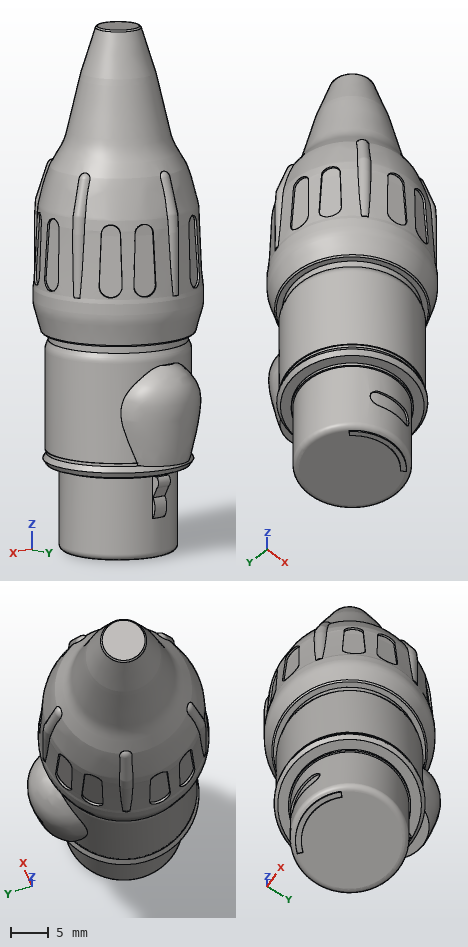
import cadquery as cq
import math

pad_height = 0.2
total_height = 70.75
plug_edge_radius = 0.85
plug_top = 11.4
flange_bottom = 11.8
flange_crest = 12.5
flange_top = 13.3
body_bottom = 13.7
body_top = 27.2
body_round_top = 27.9
neck_start = 28.5
cap_bottom = 29.6
cap_lip = 0.2
ring_low = 32.55
ring_mid = 34.0
ring_top = 35.5
grip_bottom = 36.1
grip_top = 45.2
dome_bottom = 46.6
dome_top = 52.0
shoulder = 53.85
cone_bottom = 56.8
cone_top = 63.7
tip_bottom = 64.5
tip_chamfer = 0.2

plug_radius = 7.85
plug_collar_radius = 8.1
flange_bottom_radius = 9.5
flange_radius = 10.0
body_radius = 9.7
body_round_radius = 9.55
body_round = 1.8
body_groove_depth = 0.15
neck_radius = 9.3
cap_bottom_radius = 10.25
ring_low_radius = 11.05
ring_diameter = 22.6
ring_radius = ring_diameter / 2
ring_round = 4.6
grip_bottom_radius = 11.2
grip_top_radius = 10.75
dome_bottom_radius = 10.6
dome_mid_radius = 10.0
dome_top_radius = 9.05
shoulder_radius = 8.0
waist_radius = 7.2
cone_bottom_radius = 6.8
cone_top_radius = 5.2
tip_bottom_radius = 4.95
tip_radius = 3.05

rib_count = 5
rib_pitch = 360 / rib_count
first_rib_angle = 90.0
rib_radius = 1.0
rib_top = 51.5
rib_top_radius = 8.6
rib_bend = 46.85
rib_bend_inset = 0.15
rib_knee = 44.6
flute_spread = 12.0
flute_bottom = 36.4
flute_top = 46.05
flute_bottom_width = 3.05
flute_top_width = 2.55
flute_depth = 0.35
flute_ramp_height = 1.55
flute_ramp_rise = 0.15

latch_sections = [
    (13.4, 4.4, 11.6),
    (16.3, 5.45, 12.3),
    (19.95, 6.3, 12.95),
    (22.65, 5.95, 13.1),
    (24.55, 4.7, 12.4),
    (25.9, 3.1, 11.3),
    (26.6, 1.4, 10.05),
]
latch_sink = 0.1

window_length = 7.15
window_height = 2.7
window_center = 6.2
window_depth = 0.3
key_width = 2.1
key_root = plug_radius - 0.7
key_waist = plug_radius + 0.1
upper_bump_root = plug_radius + 0.8
upper_bump_crest = plug_radius + 1.1
upper_bump_bottom = 9.8
upper_bump_middle = (plug_top + upper_bump_bottom) / 2
lower_bump_crest = plug_radius + 0.4
lower_bump_top = 8.5
lower_bump_bottom = 5.65
lower_bump_middle = (lower_bump_top + lower_bump_bottom) / 2
pad_inner_radius = 6.4
pad_outer_radius = 7.15
pad_half_angle = 48.0


def revolved_shell():
    """Solid of revolution holding the plug, body, neck and cap."""
    middle_dome = (dome_bottom + dome_top) / 2
    middle_waist = (shoulder + cone_bottom) / 2
    groove_radius = body_radius - body_groove_depth
    profile = (
        cq.Workplane("XZ")
        .moveTo(0, pad_height)
        .lineTo(plug_radius - plug_edge_radius, pad_height)
        .radiusArc((plug_radius, pad_height + plug_edge_radius), -plug_edge_radius)
        .lineTo(plug_radius, plug_top)
        .lineTo(plug_collar_radius, plug_top)
        .lineTo(plug_collar_radius, flange_bottom)
        .lineTo(flange_bottom_radius, flange_bottom)
        .lineTo(flange_radius, flange_crest)
        .lineTo(groove_radius, flange_top)
        .lineTo(groove_radius, body_bottom)
        .lineTo(body_radius, body_bottom)
        .lineTo(body_radius, body_top)
        .radiusArc((body_round_radius, body_round_top), -body_round)
        .lineTo(neck_radius, neck_start)
        .lineTo(neck_radius, cap_bottom)
        .lineTo(cap_bottom_radius - cap_lip, cap_bottom)
        .lineTo(cap_bottom_radius, cap_bottom + cap_lip)
        .lineTo(ring_low_radius, ring_low)
        .radiusArc((ring_radius, ring_mid), -ring_round)
        .lineTo(ring_radius, ring_top)
        .lineTo(grip_bottom_radius, grip_bottom)
        .lineTo(grip_top_radius, grip_top)
        .lineTo(dome_bottom_radius, dome_bottom)
        .threePointArc((dome_mid_radius, middle_dome), (dome_top_radius, dome_top))
        .lineTo(shoulder_radius, shoulder)
        .threePointArc((waist_radius, middle_waist), (cone_bottom_radius, cone_bottom))
        .lineTo(cone_top_radius, cone_top)
        .lineTo(tip_bottom_radius, tip_bottom)
        .lineTo(tip_radius, total_height - tip_chamfer)
        .lineTo(tip_radius - tip_chamfer, total_height)
        .lineTo(0, total_height)
        .close()
    )
    return profile.revolve(360, (0, 0, 0), (0, 1, 0))


def grip_rib():
    """Round bar bent along the cap, sinking into it at the lower end; lies on +X."""
    axis_radius = ring_radius - rib_radius
    top = cq.Vector(rib_top_radius, 0, rib_top)
    bend = cq.Vector(axis_radius - rib_bend_inset, 0, rib_bend)
    knee = cq.Vector(axis_radius, 0, rib_knee)
    foot = cq.Vector(axis_radius, 0, grip_bottom)
    rib = None
    for start, end in [(top, bend), (bend, knee), (knee, foot)]:
        along = end - start
        bar = cq.Workplane(cq.Solid.makeCylinder(rib_radius, along.Length, start, along))
        ball = cq.Workplane("XY").sphere(rib_radius).translate(start.toTuple())
        piece = bar.union(ball)
        rib = piece if rib is None else rib.union(piece)
    return rib


def flute_cutter():
    """Tapered round-ended slot with a ramped upper end; lies on +X."""
    low_radius = flute_bottom_width / 2
    high_radius = flute_top_width / 2
    low = flute_bottom + low_radius
    high = flute_top - high_radius
    outside = 2 * ring_radius
    outline = (
        cq.Workplane("YZ")
        .moveTo(-low_radius, low)
        .threePointArc((0, flute_bottom), (low_radius, low))
        .lineTo(high_radius, high)
        .threePointArc((0, flute_top), (-high_radius, high))
        .close()
        .extrude(outside)
    )
    floor = (
        cq.Workplane("XZ")
        .moveTo(outside, flute_top)
        .lineTo(dome_bottom_radius - flute_depth + flute_ramp_rise, flute_top)
        .lineTo(grip_top_radius - flute_depth, flute_top - flute_ramp_height)
        .lineTo(grip_bottom_radius - flute_depth, flute_bottom)
        .lineTo(outside, flute_bottom)
        .close()
        .extrude(flute_bottom_width, both=True)
    )
    return outline.intersect(floor)


def latch():
    """Domed release button blended through arc sections that end on the body."""
    loft = cq.Workplane("XY")
    height = 0
    for z, half_width, crest in latch_sections:
        root = math.sqrt(body_radius**2 - half_width**2) - latch_sink
        loft = (
            loft.workplane(offset=z - height)
            .moveTo(-half_width, root)
            .threePointArc((0, crest), (half_width, root))
            .close()
        )
        height = z
    return loft.loft()


def plug_key():
    """Narrow key on the +Y side of the plug with a tall upper bump and a low lower one."""
    return (
        cq.Workplane("YZ")
        .moveTo(key_root, plug_top)
        .lineTo(upper_bump_root, plug_top)
        .threePointArc((upper_bump_crest, upper_bump_middle), (upper_bump_root, upper_bump_bottom))
        .lineTo(key_waist, lower_bump_top)
        .threePointArc((lower_bump_crest, lower_bump_middle), (plug_radius, lower_bump_bottom))
        .lineTo(key_root, lower_bump_bottom)
        .close()
        .extrude(key_width / 2, both=True)
    )


def name_window():
    """Round-ended recess wrapped around the -Y side of the plug."""
    slot = (
        cq.Workplane("XZ")
        .center(0, window_center)
        .slot2D(window_length, window_height)
        .extrude(2 * plug_radius)
    )
    core = cq.Workplane("XY").circle(plug_radius - window_depth).extrude(plug_top)
    return slot.cut(core)


def on_circle(radius, angle):
    """Point at a radius, with the angle in degrees measured from -Y toward +X."""
    turn = math.radians(angle)
    return (radius * math.sin(turn), -radius * math.cos(turn))


def end_pad():
    """Arc-shaped pad standing below the plug face on the -Y side."""
    return (
        cq.Workplane("XY")
        .moveTo(*on_circle(pad_outer_radius, -pad_half_angle))
        .threePointArc(on_circle(pad_outer_radius, 0), on_circle(pad_outer_radius, pad_half_angle))
        .lineTo(*on_circle(pad_inner_radius, pad_half_angle))
        .threePointArc(on_circle(pad_inner_radius, 0), on_circle(pad_inner_radius, -pad_half_angle))
        .close()
        .extrude(2 * pad_height)
    )


def turned(shape, angle):
    """Copy of a shape turned about the Z axis."""
    return shape.rotate((0, 0, 0), (0, 0, 1), angle)


result = revolved_shell()
rib_shape = grip_rib()
flute_shape = flute_cutter()
for index in range(rib_count):
    rib_angle = first_rib_angle + index * rib_pitch
    mid_angle = rib_angle + rib_pitch / 2
    result = result.union(turned(rib_shape, rib_angle))
    for side in (-1, 1):
        result = result.cut(turned(flute_shape, mid_angle + side * flute_spread))
result = result.union(latch())
result = result.union(plug_key())
result = result.cut(name_window())
result = result.union(end_pad())